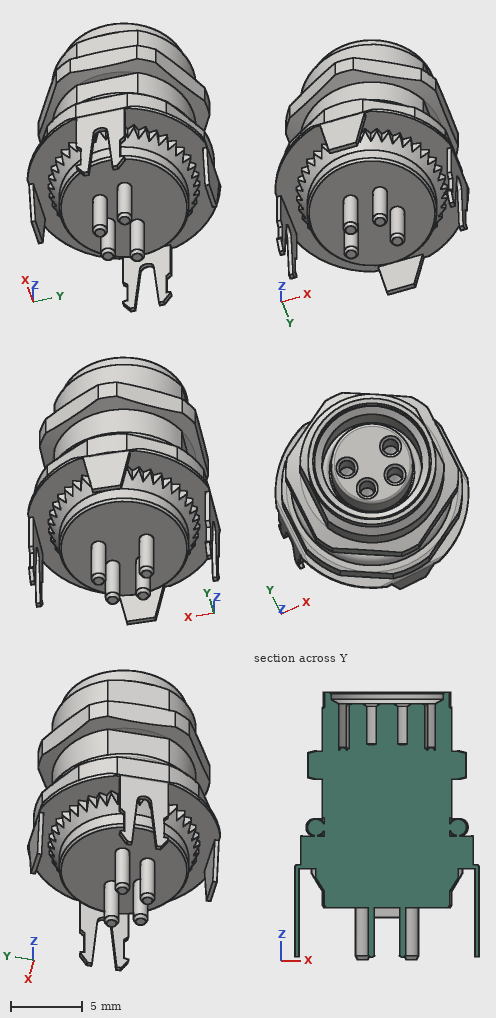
import cadquery as cq
import math

TOTAL_HEIGHT = 18.6
COLLAR_BOTTOM = 17.58
BODY_SHOULDER = 17.22
NUT_BOTTOM = 12.54
NUT_HEIGHT = 1.99
BODY_BOTTOM = 9.88
FLANGE_TOP = 8.61
PLATE_TOP = 6.62
BASE_BOTTOM = 3.6

COLLAR_RADIUS = 4.45
BODY_RADIUS = 5.0
BODY_FLAT_HALF_WIDTH = 4.5

MOUTH_RADIUS = 4.11
FUNNEL_RADIUS = 4.0
MOUTH_CHAMFER = MOUTH_RADIUS - FUNNEL_RADIUS
CAVITY_RADIUS = 3.48
FUNNEL_TOP = 18.1
FUNNEL_BOTTOM = 17.8
CAVITY_FLOOR = 14.5
INSERT_TOP = 17.8
INSERT_RADIUS = 2.83
INSERT_ROUND = 0.19
INSERT_FOOT_RADIUS = 2.95
INSERT_FOOT_HEIGHT = 0.19
SEAL_RADIUS = (CAVITY_RADIUS + INSERT_FOOT_RADIUS) / 2
SEAL_SECTION_RADIUS = (CAVITY_RADIUS - INSERT_FOOT_RADIUS) / 2

NUT_FLAT = 5.5
NUT_CORNER = 6.0
NUT_CHAMFER = 0.26
FLANGE_FLAT = 6.0
FLANGE_CORNER = 6.29
FLANGE_CHAMFER_WIDTH = 0.32
FLANGE_CHAMFER = 0.07

ORING_SECTION_RADIUS = 0.6
ORING_CENTER_RADIUS = 5.04
ORING_CENTER_Z = FLANGE_TOP + ORING_SECTION_RADIUS
NECK_RADIUS = BODY_FLAT_HALF_WIDTH

BASE_RADIUS = 4.5
BASE_CHAMFER_WIDTH = 0.13
BASE_CHAMFER_HEIGHT = 0.2
SERRATION_RADIUS = 5.26
SERRATION_RIM_BOTTOM = 6.03
CONE_BOTTOM = 4.78
GROOVE_COUNT = 40
GROOVE_DEPTH = 0.4
GROOVE_PITCH = 2 * SERRATION_RADIUS * math.tan(math.pi / GROOVE_COUNT)

SHEET = 0.3
PLATE_WIDTH = 12.8
PLATE_CORNER_RADIUS = 6.71
BEND_RADIUS = 0.2
PLATE_BOTTOM = PLATE_TOP - SHEET
TAB_OVERLAP = SHEET / 4

TAPER_TAB_TOP_HALF = 1.64
TAPER_TAB_END_HALF = 1.0
TAPER_TAB_END = 2.94

FORK_HALF = 1.71
FORK_LEG_HALF = 1.4
FORK_STEP_TOP = 3.27
FORK_STEP_BOTTOM = 2.94
BARB_TOP = 1.19
BARB_TIP_TOP = 1.12
BARB_TIP_BOTTOM = 1.0
FORK_END = 0.2
FORK_END_OUTER = 1.2
FORK_END_INNER = 0.87
SLOT_HALF = 0.5
SLOT_ARC_START = 4.28
SLOT_TOP = 4.78

CONTACTS = [(-1.7, 0.5), (1.7, 0.5), (-1.08, -1.43), (1.08, -1.43)]
PIN_RADIUS = 0.5
PIN_TIP_RADIUS = 0.35
PIN_TIP_HEIGHT = 0.28
SOCKET_RADIUS = 0.54
SOCKET_MOUTH_RADIUS = 0.75
SOCKET_MOUTH_DEPTH = 0.19
SOCKET_DEPTH = 2.79
SOCKET_CONE_DEPTH = 0.32


def revolve(points):
    """Revolve a closed (radius, height) outline about the Z axis."""
    return cq.Workplane("XZ").polyline(points).close().revolve(360, (0, 0), (0, 1))


def cylinder(radius, bottom, top):
    return cq.Workplane("XY").workplane(offset=bottom).circle(radius).extrude(top - bottom)


def ring(center_radius, section_radius, center_z):
    torus = cq.Solid.makeTorus(center_radius, section_radius)
    return cq.Workplane(torus.translate(cq.Vector(0, 0, center_z)))


def hexagon(half_width, bottom, height):
    """Hexagonal prism with two flats facing +X and -X."""
    across_corners = 2 * half_width / math.cos(math.pi / 6)
    prism = cq.Workplane("XY").polygon(6, across_corners).extrude(height)
    return prism.rotate((0, 0, 0), (0, 0, 1), 30).translate((0, 0, bottom))


def make_body():
    body = revolve([
        (0, BODY_BOTTOM),
        (BODY_RADIUS, BODY_BOTTOM),
        (BODY_RADIUS, BODY_SHOULDER),
        (COLLAR_RADIUS, COLLAR_BOTTOM),
        (COLLAR_RADIUS, TOTAL_HEIGHT),
        (0, TOTAL_HEIGHT),
    ])
    flats = cq.Workplane("XY").box(
        2 * BODY_FLAT_HALF_WIDTH, 2 * BODY_RADIUS, TOTAL_HEIGHT, centered=(True, True, False)
    )
    return body.intersect(flats)


def make_cavity():
    cavity = revolve([
        (0, CAVITY_FLOOR),
        (CAVITY_RADIUS, CAVITY_FLOOR),
        (CAVITY_RADIUS, FUNNEL_BOTTOM),
        (FUNNEL_RADIUS, FUNNEL_TOP),
        (FUNNEL_RADIUS, TOTAL_HEIGHT - MOUTH_CHAMFER),
        (MOUTH_RADIUS, TOTAL_HEIGHT),
        (0, TOTAL_HEIGHT),
    ])
    insert = cylinder(INSERT_RADIUS, CAVITY_FLOOR, INSERT_TOP).faces(">Z").edges().fillet(INSERT_ROUND)
    foot = cylinder(INSERT_FOOT_RADIUS, CAVITY_FLOOR, CAVITY_FLOOR + INSERT_FOOT_HEIGHT)
    seal = ring(SEAL_RADIUS, SEAL_SECTION_RADIUS, CAVITY_FLOOR)
    return cavity.cut(insert).cut(foot).cut(seal)


def make_nut():
    """Lock nut closed tightly around the body, including its two flats."""
    top = NUT_BOTTOM + NUT_HEIGHT
    blank = revolve([
        (CAVITY_RADIUS, NUT_BOTTOM),
        (BODY_RADIUS, NUT_BOTTOM),
        (NUT_CORNER, NUT_BOTTOM + NUT_CHAMFER),
        (NUT_CORNER, top - NUT_CHAMFER),
        (BODY_RADIUS, top),
        (CAVITY_RADIUS, top),
    ])
    return blank.intersect(hexagon(NUT_FLAT, NUT_BOTTOM, NUT_HEIGHT))


def make_flange():
    rim = FLANGE_CORNER - FLANGE_CHAMFER_WIDTH
    blank = revolve([
        (0, PLATE_TOP),
        (rim, PLATE_TOP),
        (FLANGE_CORNER, PLATE_TOP + FLANGE_CHAMFER),
        (FLANGE_CORNER, FLANGE_TOP - FLANGE_CHAMFER),
        (rim, FLANGE_TOP),
        (0, FLANGE_TOP),
    ])
    return blank.intersect(hexagon(FLANGE_FLAT, PLATE_TOP, FLANGE_TOP - PLATE_TOP))


def make_base():
    base = revolve([
        (0, BASE_BOTTOM),
        (BASE_RADIUS - BASE_CHAMFER_WIDTH, BASE_BOTTOM),
        (BASE_RADIUS, BASE_BOTTOM + BASE_CHAMFER_HEIGHT),
        (BASE_RADIUS, CONE_BOTTOM),
        (SERRATION_RADIUS, SERRATION_RIM_BOTTOM),
        (SERRATION_RADIUS, PLATE_BOTTOM),
        (0, PLATE_BOTTOM),
    ])
    groove = (
        cq.Workplane("XY")
        .workplane(offset=BASE_BOTTOM)
        .polyline([
            (SERRATION_RADIUS - GROOVE_DEPTH, 0),
            (SERRATION_RADIUS, GROOVE_PITCH / 2),
            (SERRATION_RADIUS + GROOVE_DEPTH, GROOVE_PITCH / 2),
            (SERRATION_RADIUS + GROOVE_DEPTH, -GROOVE_PITCH / 2),
            (SERRATION_RADIUS, -GROOVE_PITCH / 2),
        ])
        .close()
        .extrude(PLATE_BOTTOM - BASE_BOTTOM)
        .val()
    )
    origin = cq.Vector(0, 0, 0)
    axis = cq.Vector(0, 0, 1)
    for index in range(GROOVE_COUNT):
        base = base.cut(cq.Workplane(groove.rotate(origin, axis, index * 360 / GROOVE_COUNT)))
    return base


def make_plate():
    plate = (
        cq.Workplane("XY")
        .box(PLATE_WIDTH, PLATE_WIDTH, SHEET, centered=(True, True, False))
        .faces(">Z").edges().fillet(BEND_RADIUS)
        .translate((0, 0, PLATE_BOTTOM))
    )
    return plate.intersect(cylinder(PLATE_CORNER_RADIUS, PLATE_BOTTOM, PLATE_TOP))


def make_taper_tab():
    """Tapered tab on the -Y side."""
    tab_top = PLATE_BOTTOM + TAB_OVERLAP
    return (
        cq.Workplane("XZ", origin=(0, -PLATE_WIDTH / 2 + SHEET, 0))
        .polyline([
            (-TAPER_TAB_TOP_HALF, tab_top),
            (-TAPER_TAB_TOP_HALF, PLATE_BOTTOM),
            (-TAPER_TAB_END_HALF, TAPER_TAB_END),
            (TAPER_TAB_END_HALF, TAPER_TAB_END),
            (TAPER_TAB_TOP_HALF, PLATE_BOTTOM),
            (TAPER_TAB_TOP_HALF, tab_top),
        ])
        .close()
        .extrude(SHEET)
    )


def make_fork_tab():
    """Forked snap tab on the +X side."""
    outer_edge = [
        (FORK_HALF, PLATE_BOTTOM + TAB_OVERLAP),
        (FORK_HALF, FORK_STEP_TOP),
        (FORK_LEG_HALF, FORK_STEP_BOTTOM),
        (FORK_LEG_HALF, BARB_TOP),
        (FORK_HALF, BARB_TIP_TOP),
        (FORK_HALF, BARB_TIP_BOTTOM),
        (FORK_END_OUTER, FORK_END),
        (FORK_END_INNER, FORK_END),
        (SLOT_HALF, SLOT_ARC_START),
    ]
    mirrored_edge = [(-y, z) for y, z in reversed(outer_edge)]
    return (
        cq.Workplane("YZ", origin=(PLATE_WIDTH / 2 - SHEET, 0, 0))
        .polyline(outer_edge)
        .threePointArc((0, SLOT_TOP), mirrored_edge[0])
        .polyline(mirrored_edge[1:], includeCurrent=True)
        .close()
        .extrude(SHEET)
    )


def make_pin():
    return revolve([
        (0, 0),
        (PIN_TIP_RADIUS, 0),
        (PIN_RADIUS, PIN_TIP_HEIGHT),
        (PIN_RADIUS, BASE_BOTTOM),
        (0, BASE_BOTTOM),
    ])


def make_socket():
    hole_bottom = INSERT_TOP - SOCKET_DEPTH
    return revolve([
        (0, hole_bottom - SOCKET_CONE_DEPTH),
        (SOCKET_RADIUS, hole_bottom),
        (SOCKET_RADIUS, INSERT_TOP - SOCKET_MOUTH_DEPTH),
        (SOCKET_MOUTH_RADIUS, INSERT_TOP),
        (0, INSERT_TOP),
    ])


housing = make_body().union(make_nut()).cut(make_cavity())
neck = cylinder(NECK_RADIUS, FLANGE_TOP, BODY_BOTTOM)
oring = ring(ORING_CENTER_RADIUS, ORING_SECTION_RADIUS, ORING_CENTER_Z)
result = housing.union(neck).union(oring).union(make_flange()).union(make_plate()).union(make_base())

for half_turn in (0, 180):
    for tab in (make_taper_tab(), make_fork_tab()):
        result = result.union(tab.rotate((0, 0, 0), (0, 0, 1), half_turn))

for x, y in CONTACTS:
    result = result.union(make_pin().translate((x, y, 0)))
    result = result.cut(make_socket().translate((x, y, 0)))